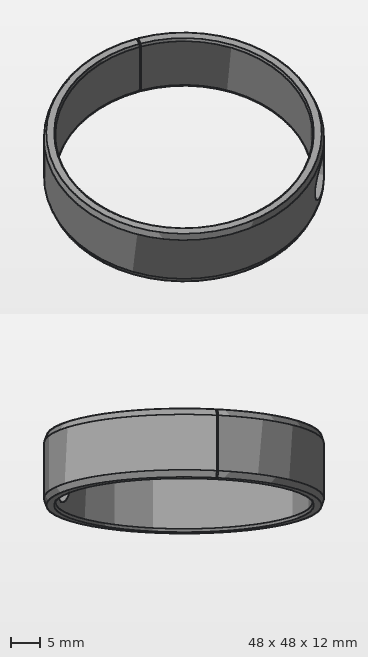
import cadquery as cq

outer_diameter = 48.0
bore_diameter = 44.0
height = 12.0

outer_bevel_height = 1.15
outer_bevel_depth = 0.45
bore_bevel_height = 0.55
bore_bevel_depth = 0.25

split_width = 0.3
split_offset = 0.1
hole_diameter = 8.0
hole_angle = 58.7

outer_radius = outer_diameter / 2
bore_radius = bore_diameter / 2


def beveled_ring():
    """Revolve the wall section, bevelled at all four corners, about Z."""
    section = [
        (bore_radius + bore_bevel_depth, 0),
        (outer_radius - outer_bevel_depth, 0),
        (outer_radius, outer_bevel_height),
        (outer_radius, height - outer_bevel_height),
        (outer_radius - outer_bevel_depth, height),
        (bore_radius + bore_bevel_depth, height),
        (bore_radius, height - bore_bevel_height),
        (bore_radius, bore_bevel_height),
    ]
    return cq.Workplane("XZ").polyline(section).close().revolve(360, (0, 0), (0, 1))


def split_cutter():
    """Thin slab, just off the ring axis, out through the -X wall."""
    slab = cq.Workplane("XY").box(outer_radius, split_width, height)
    return slab.translate((-outer_radius / 2, split_offset, height / 2))


def hole_cutter():
    """Cylinder from the ring axis out through one side of the wall."""
    cylinder = (
        cq.Workplane("YZ")
        .center(0, height / 2)
        .circle(hole_diameter / 2)
        .extrude(outer_diameter)
    )
    return cylinder.rotate((0, 0, 0), (0, 0, 1), hole_angle)


result = beveled_ring().cut(split_cutter()).cut(hole_cutter())